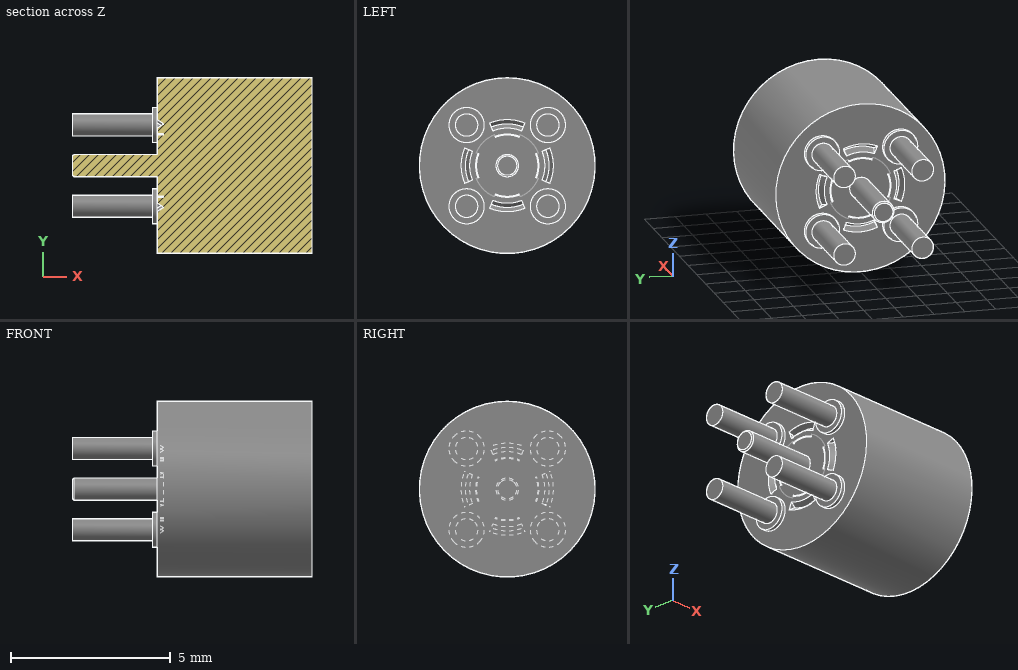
import cadquery as cq

body_diameter = 5.5
body_length = 4.85
overall_length = 7.5
pin_length = overall_length - body_length

pin_diameter = 0.7
pin_pitch = 2.54
collar_diameter = 1.1
collar_height = 0.15
contact_tip_chamfer = 0.05

crimp_count = 4
crimp_angle = 45.0
slot_inner_radius = 1.175
slot_outer_radius = 1.44
slot_depth = 0.2

insulator_radius = 1.05
dent_radius = 0.96
dent_gap = 0.03
dent_depth = slot_depth

face_plane = cq.Plane(origin=(0, 0, 0), xDir=(0, 0, 1), normal=(-1, 0, 0))


def cylinder(diameter, length, points=((0, 0),)):
    """Cylinders on the pin-side face; positive length goes outward, negative into the body."""
    return cq.Workplane(face_plane).pushPoints(points).circle(diameter / 2).extrude(length)


def crimp_sectors(profile):
    """Sweep an (x, radius) profile through the crimp angle, once for each crimp mark."""
    sector = (
        cq.Workplane("XZ")
        .polyline(profile)
        .close()
        .revolve(crimp_angle, (0, 0, 0), (1, 0, 0))
        .rotate((0, 0, 0), (1, 0, 0), -crimp_angle / 2)
    )
    sectors = cq.Workplane("YZ")
    for index in range(crimp_count):
        turn = index * 360 / crimp_count
        sectors = sectors.add(sector.rotate((0, 0, 0), (1, 0, 0), turn))
    return sectors.combine()


def ring_profile(inner_radius, outer_radius):
    """Rectangular profile reaching from the face to the bottom of the dents."""
    return [(0, inner_radius), (0, outer_radius), (dent_depth, outer_radius), (dent_depth, inner_radius)]


def dented_disc(radius_at_dents):
    """Disc of insulator radius, reduced to a smaller radius at the crimp marks."""
    disc = cylinder(2 * insulator_radius, -dent_depth)
    return disc.cut(crimp_sectors(ring_profile(radius_at_dents, slot_inner_radius)))


def make_body():
    """Plain cylinder with four V-shaped arc slots and a shallow seat for the insulator."""
    body = cylinder(body_diameter, -body_length)
    slot_middle_radius = (slot_inner_radius + slot_outer_radius) / 2
    slots = crimp_sectors([(0, slot_inner_radius), (0, slot_outer_radius), (slot_depth, slot_middle_radius)])
    seat = dented_disc(dent_radius + dent_gap)
    return body.cut(slots).cut(seat)


def make_ground_pins():
    """Four pins at the corners of a square, each with a collar against the body."""
    offset = pin_pitch / 2
    corners = [(z, y) for z in (-offset, offset) for y in (-offset, offset)]
    collars = cylinder(collar_diameter, collar_height, corners)
    return collars.union(cylinder(pin_diameter, pin_length, corners))


def make_center_contact():
    """Central pin with a small chamfer on its tip."""
    return cylinder(pin_diameter, pin_length).faces("<X").chamfer(contact_tip_chamfer)


result = (
    make_body()
    .union(dented_disc(dent_radius), clean=False)
    .union(make_ground_pins(), clean=False)
    .union(make_center_contact(), clean=False)
)